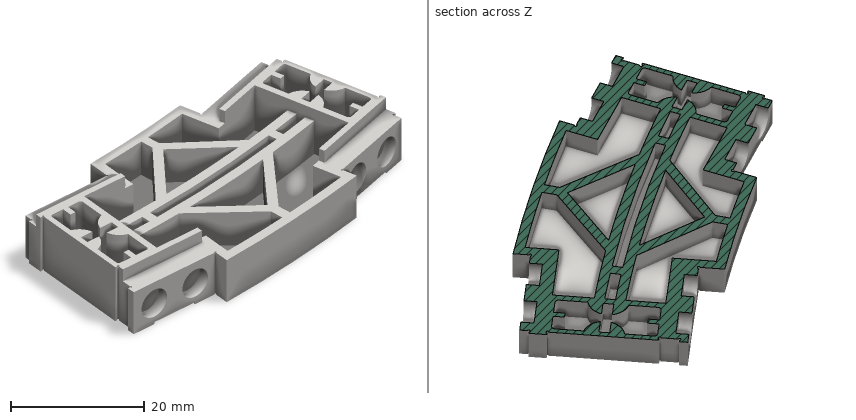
import cadquery as cq
import math


bend_radius = 199.75
bend_angle = 16.2
base_height = 7.8
ridge_height = 10.0
wall = 1.6
floor = 1.6

body_half_width = 15.95
shoulder_inset = 15.95
body_half_length = math.radians(bend_angle) * bend_radius / 2

slot_half_width = 0.8
rail_outer = slot_half_width + wall
rung_position = body_half_length / 2
diamond_tip = 10.55

block_half_width = 12.7
ridge_half_width = 9.5
cavity_half_width = 8.5
end_wall_inset = 8.0
tongue_inner = 8.5
tongue_outer = 11.25
tongue_length = 0.55
groove_clearance = 0.1
relief_radius = 0.2

socket_half_width = 8.0
socket_near = 0.9
socket_far = 6.9
socket_corner_radius = 0.5
socket_middle = (socket_near + socket_far) / 2
boss_radius = 3.25
boss_offset = 0.9
key_length = 1.75
key_width = 0.95

magnet_diameter = 5.0
magnet_depth = 2.0
magnet_positions = (4.0, 12.0)
magnet_height = base_height / 2
recess_height = 0.35
recess_depth = 0.8


def block(x0, x1, y0, y1, z0, z1):
    """Box between two opposite corners."""
    return cq.Workplane("XY").box(x1 - x0, y1 - y0, z1 - z0, centered=False).translate((x0, y0, z0))


def at_ends(shape):
    """Copies of a shape from the end-block frame at the lower and upper ends of the arc."""
    origin = (0, 0, 0)
    up = (0, 0, 1)
    lower = shape.translate((bend_radius, 0, 0)).rotate(origin, up, -bend_angle / 2)
    upper = shape.rotate(origin, up, 180).translate((bend_radius, 0, 0)).rotate(origin, up, bend_angle / 2)
    return lower, upper


def arc_point(offset, distance):
    """Point at a radial offset from the centreline and a distance along it from its middle."""
    angle = distance / bend_radius
    radius = bend_radius + offset
    return radius * math.cos(angle), radius * math.sin(angle)


def arc_band(half_width, inset, z0, z1):
    """Band along the centreline, stopping at planes a given inset from both end faces."""
    band = (
        cq.Workplane("XY", origin=(0, 0, z0))
        .circle(bend_radius + half_width)
        .circle(bend_radius - half_width)
        .extrude(z1 - z0)
    )
    reach = 2 * body_half_length
    beyond_inset = block(-reach, reach, inset, inset + reach, z0, z1)
    for keep in at_ends(beyond_inset):
        band = band.intersect(keep)
    return band


def rung(distance, z0, z1):
    """Cross rib that ties the two rails together."""
    bar = block(bend_radius - rail_outer, bend_radius + rail_outer, -wall / 2, wall / 2, z0, z1)
    return bar.rotate((0, 0, 0), (0, 0, 1), math.degrees(distance / bend_radius))


def side_rib(side):
    """V-shaped rib at 45 degrees to the rails, with a stub that reaches the outer wall."""
    outer_tip = diamond_tip + wall * math.sqrt(2)
    wall_middle = body_half_width - wall / 2
    rail_middle = (slot_half_width + rail_outer) / 2
    stub_half = wall / 2
    outline = [
        (rail_middle, -(outer_tip - rail_middle)),
        (outer_tip - stub_half, -stub_half),
        (wall_middle, -stub_half),
        (wall_middle, stub_half),
        (outer_tip - stub_half, stub_half),
        (rail_middle, outer_tip - rail_middle),
        (rail_middle, diamond_tip - rail_middle),
        (diamond_tip, 0),
        (rail_middle, -(diamond_tip - rail_middle)),
    ]
    points = [arc_point(side * offset, distance) for offset, distance in outline]
    return cq.Workplane("XY").polyline(points).close().extrude(base_height)


def end_block():
    """Solid end block with tongue, groove and raised ridge."""
    half = block_half_width
    length = shoulder_inset + wall
    solid = block(-half, half, 0, length, 0, ridge_height)
    solid = solid.union(block(-tongue_outer, -tongue_inner, -tongue_length, wall, 0, ridge_height))
    groove_inner = tongue_inner - groove_clearance
    groove_outer = tongue_outer + groove_clearance
    solid = solid.cut(block(groove_inner, groove_outer, 0, tongue_length, 0, ridge_height))
    below_ridge = block(-half, half, -tongue_length, length, 0, base_height)
    ridge = block(
        -ridge_half_width, ridge_half_width, -tongue_length, shoulder_inset, base_height, ridge_height
    )
    return solid.intersect(below_ridge.union(ridge))


def corner_reliefs():
    """Round reliefs in the inside corners of the tongue, groove and shoulders."""
    corners = [
        (-tongue_outer, 0),
        (-tongue_inner, 0),
        (tongue_inner - groove_clearance, tongue_length),
        (tongue_outer + groove_clearance, tongue_length),
        (-block_half_width, shoulder_inset),
        (block_half_width, shoulder_inset),
    ]
    return cq.Workplane("XY").pushPoints(corners).circle(relief_radius).extrude(ridge_height)


def socket():
    """Socket pocket with two end keys and two slotted round bosses left standing."""
    pocket = block(-socket_half_width, socket_half_width, socket_near, socket_far, floor, ridge_height)
    pocket = pocket.edges("|Z").fillet(socket_corner_radius)
    boss_centres = [(0, socket_near - boss_offset), (0, socket_far + boss_offset)]
    bosses = cq.Workplane("XY").pushPoints(boss_centres).circle(boss_radius).extrude(ridge_height)
    boss_slot = block(-slot_half_width, slot_half_width, socket_near, socket_far, 0, ridge_height)
    pocket = pocket.cut(bosses.cut(boss_slot))
    key_reach = socket_half_width - key_length
    key_low = socket_middle - key_width / 2
    key_high = socket_middle + key_width / 2
    for x0, x1 in ((-socket_half_width, -key_reach), (key_reach, socket_half_width)):
        pocket = pocket.cut(block(x0, x1, key_low, key_high, 0, ridge_height))
    return pocket


def side_pockets():
    """Round pockets and the shallow underside recess in both side faces of an end block."""
    half = block_half_width
    centres = [(y, magnet_height) for y in magnet_positions]
    left = (
        cq.Workplane("YZ", origin=(-half, 0, 0))
        .pushPoints(centres)
        .circle(magnet_diameter / 2)
        .extrude(magnet_depth)
    )
    left = left.union(block(-half, -half + recess_depth, *magnet_positions, 0, recess_height))
    return left.union(left.mirror("YZ"))


def cavity():
    """Hollow of the body and of the inner part of the end blocks, around the rails and ribs."""
    inner_half = body_half_width - wall
    hollow = arc_band(inner_half, shoulder_inset + wall, floor, ridge_height)
    neck_end = shoulder_inset + 2 * wall
    neck = block(-cavity_half_width, cavity_half_width, end_wall_inset, neck_end, floor, ridge_height)
    for end_neck in at_ends(neck):
        hollow = hollow.union(end_neck)

    rails = arc_band(rail_outer, end_wall_inset, 0, base_height)
    rails = rails.cut(arc_band(slot_half_width, end_wall_inset, 0, base_height))
    for side in (-1, 1):
        rails = rails.union(rung(side * rung_position, 0, base_height))
        rails = rails.union(side_rib(side))
    return hollow.cut(rails)


body = arc_band(body_half_width, shoulder_inset, 0, base_height)
for solid_end in at_ends(end_block()):
    body = body.union(solid_end)
body = body.cut(cavity())
for feature in (corner_reliefs(), socket(), side_pockets()):
    for cutter in at_ends(feature):
        body = body.cut(cutter)

result = body.rotate((0, 0, 0), (0, 0, 1), bend_angle / 2).translate((-bend_radius, 0, 0))